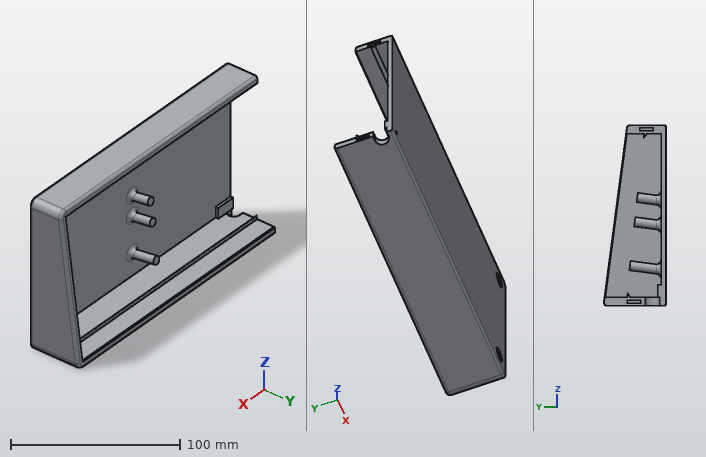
import cadquery as cq
import math

length = 186.0
height = 106.7
depth = 36.8
rear_tilt = 7.5
wall = 5.0
front_panel = 3.0
corner_radius = 5.0
front_edge_radius = 1.5
rear_edge_radius = 2.0
rear_lip_chamfer = 0.5

foot_diameter = 9.0
foot_depth = 1.0
foot_inset = 11.5

pocket_width = 8.0
pocket_height = 1.9
pocket_depth = pocket_width
top_pocket_y = 11.7
floor_pocket_y = 19.0

rib_width = 1.9
rib_height = 2.5
top_rib_y = 13.0
floor_rib_y = 23.0

pad_thickness = 5.0
pad_top = 12.6
hole_x = 7.0
hole_z = 7.6
hole_diameter = 1.7
hole_depth = 3.7
pad_length = 2 * hole_x

notch_width = 8.5
notch_front_y = 3.7
notch_straight = 3.2

post_diameter = 5.5
post_fillet = 2.8
post_x = length / 2
post_tips = [(17.1, 64.0), (18.6, 49.7), (21.4, 23.8)]

tilt = math.radians(rear_tilt)
tilt_slope = math.tan(tilt)
rear_normal = cq.Vector(0, math.cos(tilt), math.sin(tilt))
rear_face = cq.selectors.DirectionMinMaxSelector(rear_normal)

sharp_depth = depth + rear_edge_radius * (tilt_slope + 1 / math.cos(tilt) - 1)

tolerance = 0.2


def box(x_size, y_size, z_size, corner):
    """Block given by its sizes and its lowest corner."""
    return cq.Workplane("XY").box(x_size, y_size, z_size, centered=False).translate(corner)


def make_shell():
    rear_top_y = sharp_depth - height * tilt_slope
    outline = [(0, 0), (sharp_depth, 0), (rear_top_y, height), (0, height)]
    shell = cq.Workplane("YZ").polyline(outline).close().extrude(length)
    shell = shell.faces(">X").edges("|Y").fillet(corner_radius)
    shell = shell.faces("<Y").edges("not <X").fillet(front_edge_radius)
    shell = shell.faces(rear_face).edges("not <X").fillet(rear_edge_radius)
    cavity = box(length - wall, sharp_depth, height - 2 * wall, (0, front_panel, wall))
    shell = shell.cut(cavity)
    opening_edges = cq.selectors.BoxSelector(
        (tolerance, front_panel + tolerance, wall - tolerance),
        (length - wall + tolerance, sharp_depth, height - wall + tolerance),
    )
    return shell.faces(rear_face).edges(opening_edges).chamfer(rear_lip_chamfer)


def make_post(tip_y, tip_z):
    """Round post running from its tip into the front panel."""
    plane = cq.Plane(origin=(post_x, tip_y, tip_z), xDir=(1, 0, 0), normal=(-rear_normal).toTuple())
    post = cq.Workplane(plane).circle(post_diameter / 2).extrude(tip_y)
    panel_middle = front_panel / 2
    return post.intersect(box(length, depth, height, (0, panel_middle, 0)))


def add_posts(body):
    for tip_y, tip_z in post_tips:
        body = body.union(make_post(tip_y, tip_z))
    post_feet = cq.selectors.BoxSelector(
        (post_x - post_diameter, front_panel - tolerance, 0),
        (post_x + post_diameter, front_panel + tolerance, height),
        boundingbox=True,
    )
    return body.edges(post_feet).fillet(post_fillet)


def make_rib(rear_foot_y, wall_z, direction):
    """Rib whose rear flank follows the tilt; direction is +1 upward, -1 downward."""
    tip = (rear_foot_y - direction * rib_height * tilt_slope, wall_z + direction * rib_height)
    outline = [(rear_foot_y, wall_z), tip, (rear_foot_y - rib_width, wall_z)]
    return cq.Workplane("YZ").polyline(outline).close().extrude(length - wall)


def make_front_hole(x, z, diameter, hole_length):
    return cq.Workplane("XZ").center(x, z).circle(diameter / 2).extrude(-hole_length)


def make_end_pocket(y, z):
    return cq.Workplane("YZ").center(y, z).rect(pocket_width, pocket_height).extrude(pocket_depth)


def make_notch():
    notch_y = notch_front_y + notch_width / 2
    slot_length = 2 * notch_straight + notch_width
    return cq.Workplane("XY").center(0, notch_y).slot2D(slot_length, notch_width).extrude(wall)


result = add_posts(make_shell())

result = result.union(make_rib(floor_rib_y, wall, 1))
result = result.union(make_rib(top_rib_y, height - wall, -1))
result = result.union(
    box(pad_length, pad_thickness - front_panel, pad_top - wall, (0, front_panel, wall))
)

for foot_z in (foot_inset, height - foot_inset):
    result = result.cut(make_front_hole(length - foot_inset, foot_z, foot_diameter, foot_depth))
result = result.cut(make_front_hole(hole_x, hole_z, hole_diameter, hole_depth))

result = result.cut(make_end_pocket(floor_pocket_y, wall / 2))
result = result.cut(make_end_pocket(top_pocket_y, height - wall / 2))
result = result.cut(make_notch())